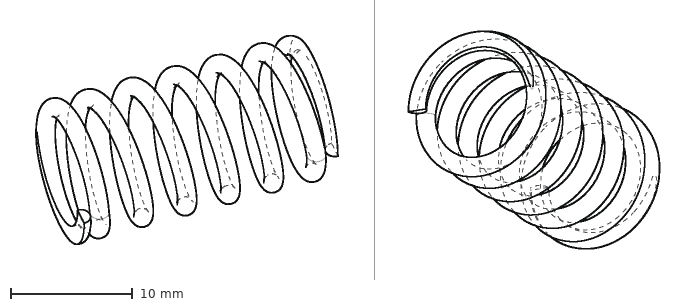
import cadquery as cq

free_length = 22.23
wire_diameter = 1.6
outer_diameter = 12.2
coil_clearance = 0.02
active_turns = 5
closed_turns = 1

mean_radius = (outer_diameter - wire_diameter) / 2
closed_pitch = wire_diameter + coil_clearance
closed_height = closed_turns * closed_pitch
active_height = free_length - 2 * closed_height
active_pitch = active_height / active_turns


def coil(pitch, height, start):
    """Right-handed coil about Z, beginning on the +X side at Z = start."""
    path = cq.Wire.makeHelix(pitch, height, mean_radius)
    section = cq.Workplane("XZ").center(mean_radius, 0).circle(wire_diameter / 2)
    return section.sweep(cq.Workplane(path), isFrenet=True).translate((0, 0, start))


def ground_envelope():
    """Block between the two flat end planes."""
    width = outer_diameter + wire_diameter
    return cq.Workplane("XY").rect(width, width).extrude(free_length)


front_coil = coil(closed_pitch, closed_height, 0).intersect(ground_envelope())
active_coils = coil(active_pitch, active_height, closed_height)
back_coil = coil(closed_pitch, closed_height, free_length - closed_height).intersect(ground_envelope())

spring = active_coils.union(front_coil).union(back_coil)

result = spring.rotate((0, 0, 0), (1, 0, 0), -90)